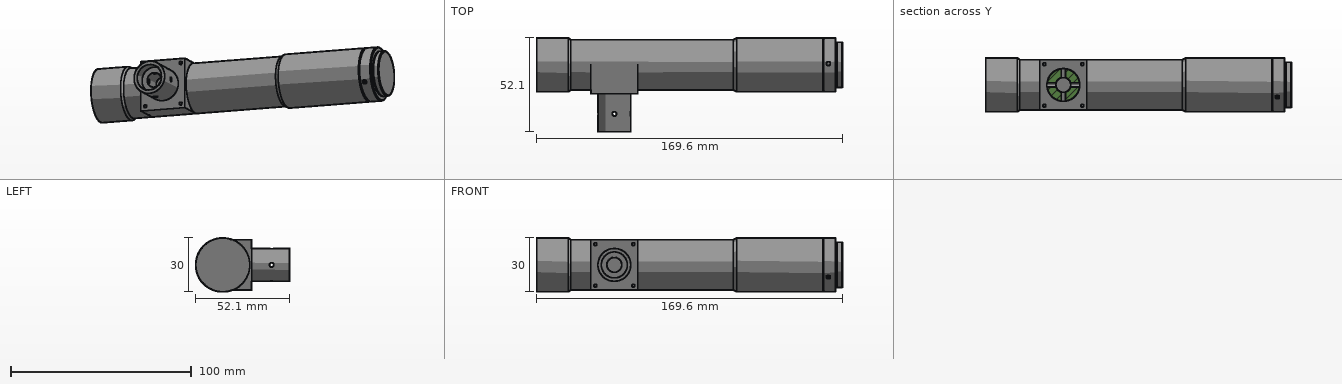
import cadquery as cq
import math

total_length = 169.6
large_radius = 15.0
barrel_radius = 14.0
head_length = 17.6
head_taper_length = 1.4
sleeve_taper_start = 109.0
sleeve_start = 111.0
sleeve_end = 165.8
edge_chamfer = 0.5

groove_start = 158.5
groove_width = 0.6
groove_depth = 0.5

spigot_radius = 12.6
relief_width = 0.6
relief_depth = 0.5

block_center_x = 43.1
block_width = 26.0
block_height = 2 * barrel_radius
block_face_y = -16.0
block_screw_spacing_x = 21.0
block_screw_spacing_z = 23.0
block_screw_diameter = 1.6
block_screw_depth = 4.0

tube_end_y = -37.1
tube_diameter = 18.2
bore_diameter = 14.4
bore_depth = 7.5
bore_floor_y = tube_end_y + bore_depth
inner_bore_diameter = 8.2
inner_bore_depth = block_face_y - bore_floor_y
cross_hole_y = -27.1
cross_hole_diameter = 2.3

set_screw_x = 161.6
set_screw_diameter = 2.2
set_screw_depth = 2.0
set_screw_count = 3
set_screw_first_angle = math.radians(87)


def cylinder_toward_back(diameter, center_x, center_z, start_y, length):
    """Cylinder along +Y that begins at start_y."""
    origin = cq.Vector(center_x, start_y, center_z)
    return cq.Workplane(cq.Solid.makeCylinder(diameter / 2, length, origin, cq.Vector(0, 1, 0)))


def make_barrel():
    groove_radius = large_radius - groove_depth
    groove_end = groove_start + groove_width
    relief_radius = spigot_radius - relief_depth
    relief_end = sleeve_end + relief_width
    profile = [
        (0, 0),
        (0, large_radius),
        (head_length, large_radius),
        (head_length + head_taper_length, barrel_radius),
        (sleeve_taper_start, barrel_radius),
        (sleeve_start, large_radius),
        (groove_start, large_radius),
        (groove_start, groove_radius),
        (groove_end, groove_radius),
        (groove_end, large_radius),
        (sleeve_end - edge_chamfer, large_radius),
        (sleeve_end, large_radius - edge_chamfer),
        (sleeve_end, relief_radius),
        (relief_end, relief_radius),
        (relief_end, spigot_radius),
        (total_length - edge_chamfer, spigot_radius),
        (total_length, spigot_radius - edge_chamfer),
        (total_length, 0),
    ]
    return cq.Workplane("XY").polyline(profile).close().revolve(360, (0, 0, 0), (1, 0, 0))


def make_block():
    block = cq.Workplane("XY").box(
        block_width, -block_face_y, block_height, centered=(True, False, True)
    )
    return block.translate((block_center_x, block_face_y, 0))


def make_side_tube():
    return cylinder_toward_back(tube_diameter, block_center_x, 0, tube_end_y, block_face_y - tube_end_y)


def cut_tube_bores(body):
    bore = cylinder_toward_back(bore_diameter, block_center_x, 0, tube_end_y, bore_floor_y - tube_end_y)
    inner_bore = cylinder_toward_back(inner_bore_diameter, block_center_x, 0, bore_floor_y, inner_bore_depth)
    return body.cut(bore).cut(inner_bore)


def cut_cross_holes(body):
    center = cq.Vector(block_center_x, cross_hole_y, 0)
    for direction in (cq.Vector(1, 0, 0), cq.Vector(0, 0, 1)):
        start = center - direction * tube_diameter
        hole = cq.Solid.makeCylinder(cross_hole_diameter / 2, 2 * tube_diameter, start, direction)
        body = body.cut(cq.Workplane(hole))
    return body


def cut_block_screw_holes(body):
    for side_x in (-1, 1):
        for side_z in (-1, 1):
            hole_x = block_center_x + side_x * block_screw_spacing_x / 2
            hole_z = side_z * block_screw_spacing_z / 2
            hole = cylinder_toward_back(block_screw_diameter, hole_x, hole_z, block_face_y, block_screw_depth)
            body = body.cut(hole)
    return body


def cut_set_screw_holes(body):
    floor_radius = large_radius - set_screw_depth
    for index in range(set_screw_count):
        angle = set_screw_first_angle + index * 2 * math.pi / set_screw_count
        direction = cq.Vector(0, math.cos(angle), math.sin(angle))
        floor_center = cq.Vector(set_screw_x, 0, 0) + direction * floor_radius
        hole = cq.Solid.makeCylinder(set_screw_diameter / 2, 2 * set_screw_depth, floor_center, direction)
        body = body.cut(cq.Workplane(hole))
    return body


body = make_barrel().union(make_block()).union(make_side_tube())
body = cut_tube_bores(body)
body = cut_cross_holes(body)
body = cut_block_screw_holes(body)
result = cut_set_screw_holes(body)